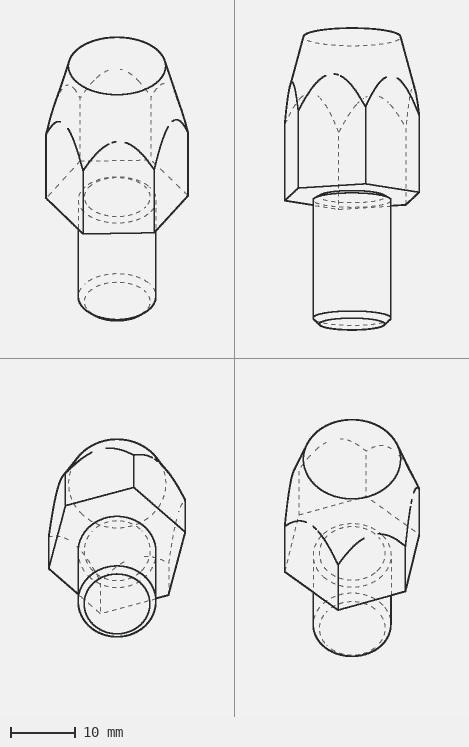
import cadquery as cq
import math

total_height = 45.0
shank_length = 20.0
across_flats = 19.0
top_diameter = 15.0
cone_half_angle = 15.0
shank_diameter = 12.0
tip_chamfer = 0.95
shoulder_height = 0.55
shoulder_slope = 30.0

head_height = total_height - shank_length
across_corners = across_flats / math.cos(math.radians(30))
shoulder_inset = shoulder_height / math.tan(math.radians(shoulder_slope))


def tapered_envelope():
    """Cone around the head, widening downward from the flat top face."""
    top_radius = top_diameter / 2
    base_radius = top_radius + head_height * math.tan(math.radians(cone_half_angle))
    return cq.Workplane("XY").add(
        cq.Solid.makeCone(base_radius, top_radius, head_height, pnt=cq.Vector(0, 0, shank_length))
    )


def hex_head():
    """Hexagonal prism with corners on the X axis, trimmed by the cone."""
    prism = (
        cq.Workplane("XY")
        .workplane(offset=shank_length)
        .polygon(6, across_corners)
        .extrude(head_height)
    )
    return prism.intersect(tapered_envelope())


def shank():
    """Round shank, chamfered at the tip and where it meets the head."""
    return (
        cq.Workplane("XY")
        .circle(shank_diameter / 2)
        .extrude(shank_length)
        .faces("<Z")
        .chamfer(tip_chamfer)
        .faces(">Z")
        .chamfer(shoulder_height, shoulder_inset)
    )


result = hex_head().union(shank())